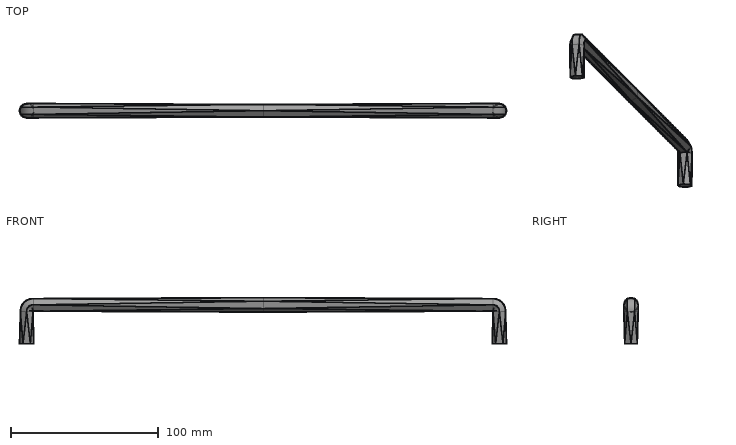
import cadquery as cq
import math

length = 330
height = 31.5

sides = 6
corner_radius = 5.0
flat_distance = corner_radius * math.cos(math.pi / sides)
half_step = math.pi / sides

leg_x = length / 2 - corner_radius
bar_z = height - corner_radius
bend_x = leg_x - flat_distance
bend_z = bar_z - flat_distance


def hexagon(origin, across, turn):
    """Corners of a hexagon spanned by the 'across' direction and Y.

    With no turn, two opposite corners point along Y.
    """
    y_axis = cq.Vector(0, 1, 0)
    corners = []
    for index in range(sides):
        angle = turn + 2 * half_step * index
        offset = y_axis * math.cos(angle) + across * math.sin(angle)
        corners.append(origin + offset * corner_radius)
    return corners


def polygon_face(corners):
    return cq.Face.makeFromWires(cq.Wire.makePolygon(corners, close=True))


def faceted_bar(start, end, across):
    """Bar whose hexagon turns half a step from start to end through triangular facets."""
    first = hexagon(start, across, 0)
    last = hexagon(end, across, half_step)
    faces = [polygon_face(first), polygon_face(last)]
    for index in range(sides):
        following = (index + 1) % sides
        faces.append(polygon_face([first[index], first[following], last[index]]))
        faces.append(polygon_face([first[following], last[following], last[index]]))
    solid = cq.Solid.makeSolid(cq.Shell.makeShell(faces))
    return cq.Workplane(solid.fix())


def corner_bend():
    """Quarter turn of the hexagon from the leg to the bar, sharp on the inside."""
    section = hexagon(cq.Vector(leg_x, 0, bend_z), cq.Vector(1, 0, 0), 0)
    pivot = cq.Vector(bend_x, 0, bend_z)
    bend = cq.Solid.revolve(
        polygon_face(section), 90, pivot, pivot - cq.Vector(0, 3.3, 0)
    )
    return cq.Workplane(bend)


leg = faceted_bar(
    cq.Vector(leg_x, 0, bend_z), cq.Vector(leg_x, 0, 0), cq.Vector(1, 0, 0)
)
half_bar = faceted_bar(
    cq.Vector(bend_x, 0, bar_z), cq.Vector(0, 0, bar_z), cq.Vector(0, 0, 1)
)
half_handle = half_bar.union(corner_bend()).union(leg)

result = half_handle.union(half_handle.mirror("YZ"))